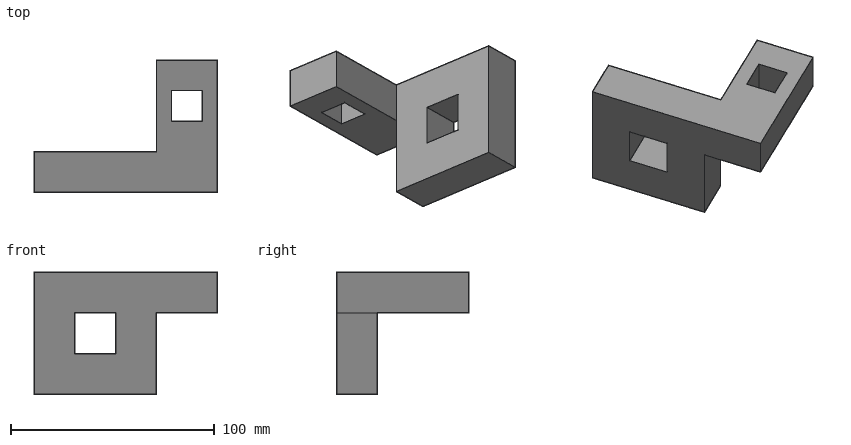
import cadquery as cq

length = 90.0
depth = 65.0
plate_side = 60.0
thickness = plate_side / 3
plate_window = plate_side / 3
arm_window = 15.0

arm_width = length - plate_side
arm_bottom = plate_side - thickness
arm_center_x = plate_side + arm_width / 2
arm_window_y = (thickness + depth) / 2


def block(x, y, z, size_x, size_y, size_z):
    """Box with its lowest corner at (x, y, z)."""
    return cq.Workplane("XY").box(size_x, size_y, size_z, centered=False).translate((x, y, z))


def plate_opening():
    """Square opening through the plate along Y, centred on the plate."""
    corner = (plate_side - plate_window) / 2
    return block(corner, 0, corner, plate_window, thickness, plate_window)


def arm_opening():
    """Square opening through the arm along Z."""
    return block(
        arm_center_x - arm_window / 2,
        arm_window_y - arm_window / 2,
        arm_bottom,
        arm_window,
        arm_window,
        thickness,
    )


plate = block(0, 0, 0, plate_side, thickness, plate_side)
arm = block(plate_side, 0, arm_bottom, arm_width, depth, thickness)

result = plate.union(arm).cut(plate_opening()).cut(arm_opening())